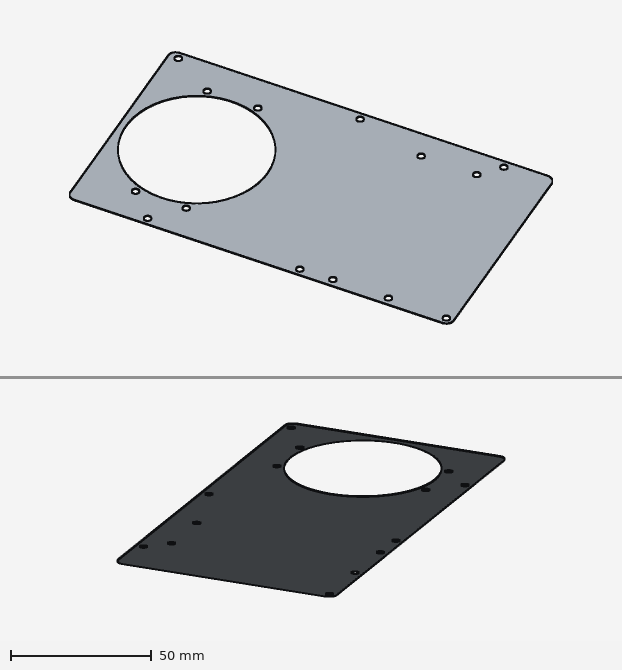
import cadquery as cq

length = 151.8
width = 85.2
thickness = 0.41
corner_radius = 3.0

opening_diameter = 56.0
opening_x = -45.2
mount_half_pitch_x = 10.0
mount_half_pitch_y = 29.0

hole_diameter = 2.7
edge_row_y = 39.8
rear_edge_xs = [-72.0, 0.0, 57.0]
front_edge_xs = [opening_x, 15.0, 73.0]

group_xs = [28.0, 50.0]
group_ys = [-39.5, 32.0]


def cut_round(body, points, diameter):
    """Cut vertical through holes of one diameter at the given XY points."""
    cutter = (
        cq.Workplane("XY")
        .workplane(offset=-thickness)
        .pushPoints(points)
        .circle(diameter / 2)
        .extrude(2 * thickness)
    )
    return body.cut(cutter)


mount_points = [
    (opening_x + side_x * mount_half_pitch_x, side_y * mount_half_pitch_y)
    for side_x in (-1, 1)
    for side_y in (-1, 1)
]
rear_points = [(x, edge_row_y) for x in rear_edge_xs]
front_points = [(x, -edge_row_y) for x in front_edge_xs]
group_points = [(x, y) for x in group_xs for y in group_ys]

plate = cq.Workplane("XY").box(length, width, thickness)
plate = plate.edges("|Z").fillet(corner_radius)
plate = cut_round(plate, [(opening_x, 0)], opening_diameter)
result = cut_round(
    plate,
    mount_points + rear_points + front_points + group_points,
    hole_diameter,
)